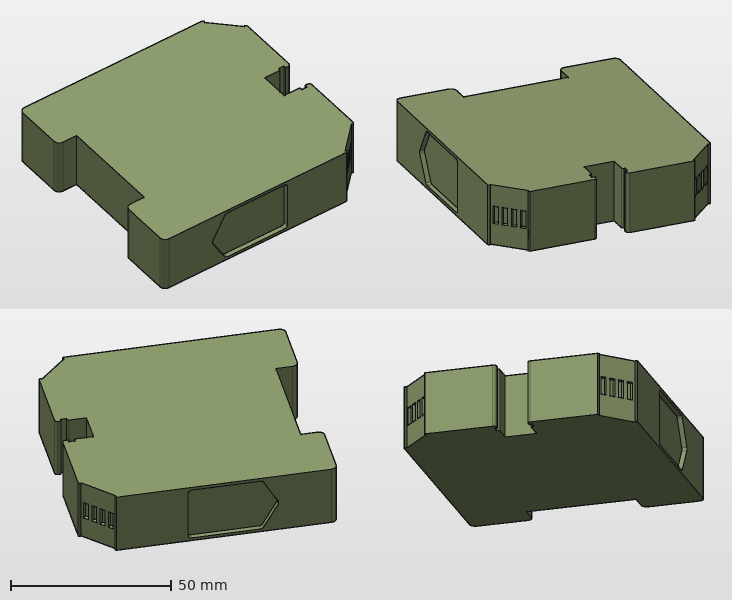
import cadquery as cq
import math

width = 76.3
length = 80.65
thickness = 20.5
half_width = width / 2
half_length = length / 2

foot_gap_width = 35.8
foot_gap_depth = 7.25
foot_radius = 1.9

notch_width = 10.25
notch_depth = 10.0
notch_lip_radius = 1.0
groove_depth = 1.0
groove_width = 1.9
groove_offset = 1.9
groove_lip_radius = 0.5

bevel_leg = 10.0
recess_depth = 0.6
recess_end_land = 0.7
recess_lip_radius = 0.25

slot_count = 4
slot_pitch = 3.1
slot_width = 1.8
slot_height = 5.9
slot_depth = 1.3

pocket_height = 18.4
pocket_back_y = 7.4
pocket_shoulder_y = -16.4
pocket_tip_half_angle = 60.0
pocket_radius = 1.1
pocket_depth = 1.7


def box_at(x_size, y_size, center_x, center_y):
    """Full-thickness block centred at the given X and Y."""
    return cq.Workplane("XY").box(x_size, y_size, thickness).translate((center_x, center_y, 0))


def round_upright_edges(body, radius, positions):
    """Round the upright edges that stand at the given (x, y) positions."""
    for x, y in positions:
        body = body.edges(cq.selectors.NearestToPointSelector((x, y, 0))).fillet(radius)
    return body


def make_body():
    body = cq.Workplane("XY").box(width, length, thickness)
    body = body.edges("|Z and >Y").chamfer(bevel_leg)
    body = body.cut(box_at(foot_gap_width, foot_gap_depth, 0, (foot_gap_depth - length) / 2))
    foot_corners = [
        (side * x, -half_length) for side in (-1, 1) for x in (half_width, foot_gap_width / 2)
    ]
    return round_upright_edges(body, foot_radius, foot_corners)


def cut_notch(body):
    groove_span = notch_width + 2 * groove_depth
    groove_center_y = half_length - groove_offset - groove_width / 2
    groove_inner_y = half_length - groove_offset - groove_width
    body = body.cut(box_at(notch_width, notch_depth, 0, half_length - notch_depth / 2))
    body = body.cut(box_at(groove_span, groove_width, 0, groove_center_y))
    notch_sides = (-notch_width / 2, notch_width / 2)
    body = round_upright_edges(body, notch_lip_radius, [(x, half_length) for x in notch_sides])
    return round_upright_edges(body, groove_lip_radius, [(x, groove_inner_y) for x in notch_sides])


def make_bevel_cutter():
    """Recess and slots for the -X bevel, which faces (-X, +Y)."""
    bevel_plane = cq.Plane(
        origin=(-half_width + bevel_leg / 2, half_length - bevel_leg / 2, 0),
        xDir=(1, 1, 0),
        normal=(-1, 1, 0),
    )
    recess_length = bevel_leg * math.sqrt(2) - 2 * recess_end_land
    recess = cq.Workplane(bevel_plane).rect(recess_length, thickness).extrude(-recess_depth)
    slots = (
        cq.Workplane(bevel_plane)
        .rarray(slot_pitch, 0.8, slot_count, 1)
        .rect(slot_width, slot_height)
        .extrude(-recess_depth - slot_depth)
    )
    return recess.union(slots)


def make_pocket_cutter():
    """Arrow-shaped pocket for the -X side, pointing toward -Y."""
    half_height = pocket_height / 2
    tip_y = pocket_shoulder_y - half_height / math.tan(math.radians(pocket_tip_half_angle))
    outline = [
        (pocket_back_y, -half_height),
        (pocket_back_y, half_height),
        (pocket_shoulder_y, half_height),
        (tip_y, 0),
        (pocket_shoulder_y, -half_height),
    ]
    side_plane = cq.Workplane("YZ", origin=(-half_width, 0, 0))
    pocket = side_plane.polyline(outline).close().extrude(pocket_depth)
    return pocket.edges("|X").fillet(pocket_radius)


def recess_lip_positions():
    """Where the upright edges stand at the mouths of both bevel recesses."""
    along = recess_end_land / math.sqrt(2)
    near_end = (half_width - bevel_leg + along, half_length - along)
    near_side = (half_width - along, half_length - bevel_leg + along)
    return [(side * x, y) for side in (-1, 1) for x, y in (near_end, near_side)]


result = cut_notch(make_body())
for cutter in (make_bevel_cutter(), make_pocket_cutter()):
    result = result.cut(cutter).cut(cutter.mirror("YZ"))
result = round_upright_edges(result, recess_lip_radius, recess_lip_positions())